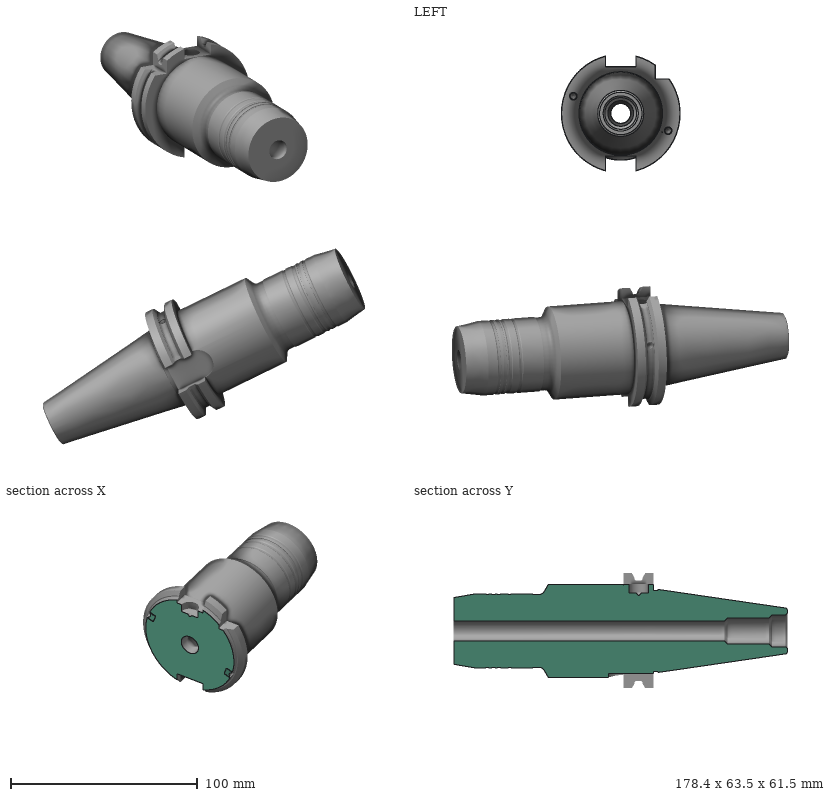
import cadquery as cq
import math


taper_length = 68.4
taper_rate = 7 / 24
gauge_radius = 44.45 / 2
taper_overrun = 1.0
neck_radius = 21.9
end_chamfer_length = 0.5
end_chamfer_height = 0.9

flange_start = 3.2
flange_end = 19.1
flange_radius = 63.55 / 2
groove_center = (flange_start + flange_end) / 2
groove_floor_radius = 56.25 / 2
groove_half_width = 2.1
groove_shoulder_radius = 29.3
groove_wall_angle = 30
groove_corner = 0.6

slot_width = 16.1
top_slot_floor = 25.0
bottom_slot_floor = -22.8
notch_side = -18.5
notch_floor = 18.5

pocket_diameter = 10.0
pocket_depth = 4.6
center_mark_diameter = 2.7
center_mark_depth = 1.35

nose_end = 110.0
body_radius = 25.0
body_foot_chamfer = 0.5
body_end = 59.6
shoulder_angle = 60
shoulder_fillet = 3.2
relief_radius = 19.6
nose_start = 67.9
nose_radius = 20.0
tip_taper_start = 98.3
tip_radius = 18.0

ring_depth = 0.35
ring_flank = 0.5
square_flank = 0.0
rings = [
    (79.2, 81.2, ring_flank, ring_flank),
    (84.8, 87.1, ring_flank, ring_flank),
    (88.0, 89.7, square_flank, square_flank),
    (91.3, 93.1, square_flank, ring_flank),
]

mouth_radius = 9.4
counterbore_radius = 8.5
counterbore_depth = 8.2
thread_radius = 6.9
thread_depth = 32.0
through_radius = 5.3

plug_diameter = 4.0
plug_length = 3.5
plug_recess = 0.5
dimple_diameter = 3.4
dimple_depth = 1.0
coolant_circle_radius = 27.0
coolant_angles = [20, 200]


def turned(points):
    """Solid of revolution about X from a closed (x, radius) outline."""
    outline = cq.Workplane("XZ").polyline(points).close()
    return outline.revolve(360, (0, 0, 0), (1, 0, 0))


def outer_blank():
    small_end = -taper_length
    chamfer_end = small_end + end_chamfer_length
    small_radius = gauge_radius - taper_length * taper_rate / 2
    chamfer_radius = gauge_radius + chamfer_end * taper_rate / 2
    overrun_radius = gauge_radius + taper_overrun * taper_rate / 2
    shoulder_slope = math.radians(shoulder_angle)
    shoulder_foot = body_end + (body_radius - relief_radius) / math.tan(shoulder_slope)
    tangent_length = shoulder_fillet * math.tan(shoulder_slope / 2)
    fillet_start = (
        shoulder_foot - tangent_length * math.cos(shoulder_slope),
        relief_radius + tangent_length * math.sin(shoulder_slope),
    )
    outline = (
        cq.Workplane("XZ")
        .moveTo(small_end, 0)
        .lineTo(small_end, small_radius - end_chamfer_height)
        .lineTo(chamfer_end, chamfer_radius)
        .lineTo(taper_overrun, overrun_radius)
        .lineTo(taper_overrun, neck_radius)
        .lineTo(flange_start, neck_radius)
        .lineTo(flange_start, flange_radius)
        .lineTo(flange_end, flange_radius)
        .lineTo(flange_end, body_radius - body_foot_chamfer)
        .lineTo(flange_end + body_foot_chamfer, body_radius)
        .lineTo(body_end, body_radius)
        .lineTo(*fillet_start)
        .tangentArcPoint((shoulder_foot + tangent_length, relief_radius), relative=False)
        .lineTo(nose_start, relief_radius)
        .lineTo(nose_start, nose_radius)
        .lineTo(tip_taper_start, nose_radius)
        .lineTo(nose_end, tip_radius)
        .lineTo(nose_end, 0)
        .close()
    )
    return outline.revolve(360, (0, 0, 0), (1, 0, 0))


def gripper_groove():
    rise = flange_radius - groove_shoulder_radius
    top_half_width = groove_half_width + rise * math.tan(math.radians(groove_wall_angle))
    floor_half_width = groove_half_width - groove_corner
    half_outline = [
        (top_half_width, flange_radius),
        (groove_half_width, groove_shoulder_radius),
        (groove_half_width, groove_floor_radius + groove_corner),
        (floor_half_width, groove_floor_radius),
    ]
    right = [(groove_center + offset, radius) for offset, radius in half_outline]
    left = [(groove_center - offset, radius) for offset, radius in reversed(half_outline)]
    return turned(right + left)


def ring_groove(start, end, start_flank, end_flank):
    floor = nose_radius - ring_depth
    return turned([
        (start, nose_radius),
        (start + start_flank, floor),
        (end - end_flank, floor),
        (end, nose_radius),
    ])


def stepped_bore():
    mouth = -taper_length
    counterbore_end = mouth + counterbore_depth
    thread_end = mouth + thread_depth
    mouth_chamfer = mouth_radius - counterbore_radius
    step_cone = counterbore_radius - thread_radius
    thread_cone = thread_radius - through_radius
    return turned([
        (mouth, 0),
        (mouth, mouth_radius),
        (mouth + mouth_chamfer, counterbore_radius),
        (counterbore_end, counterbore_radius),
        (counterbore_end + step_cone, thread_radius),
        (thread_end, thread_radius),
        (thread_end + thread_cone, through_radius),
        (nose_end, through_radius),
        (nose_end, 0),
    ])


def flange_box(y_min, y_max, z_min, z_max):
    """Cutter spanning the full width of the flange."""
    size = (flange_end - flange_start, y_max - y_min, z_max - z_min)
    return cq.Workplane("XY").box(*size, centered=False).translate((flange_start, y_min, z_min))


def top_slot():
    return flange_box(-slot_width / 2, slot_width / 2, top_slot_floor, flange_radius)


def bottom_slot():
    """Slot through the flange whose round end runs out into the body."""
    slot = flange_box(-slot_width / 2, slot_width / 2, -flange_radius, bottom_slot_floor)
    round_end = (
        cq.Workplane("XY", origin=(flange_end, 0, -flange_radius))
        .circle(slot_width / 2)
        .extrude(flange_radius + bottom_slot_floor)
    )
    return slot.union(round_end)


def corner_notch():
    return flange_box(-flange_radius, notch_side, notch_floor, flange_radius)


def chip_pocket():
    pocket_floor = top_slot_floor - pocket_depth
    plane = cq.Workplane("XY", origin=(groove_center, 0, pocket_floor))
    pocket = plane.circle(pocket_diameter / 2).extrude(pocket_depth)
    center_mark = cq.Solid.makeCone(
        center_mark_diameter / 2, 0, center_mark_depth, plane.plane.origin, cq.Vector(0, 0, -1)
    )
    return pocket.union(cq.Workplane(center_mark))


def hole_frame(mouth, inward):
    """Workplane at a hole mouth whose normal points into the metal."""
    return cq.Workplane(cq.Plane(origin=mouth, xDir=(0, 0, 1), normal=inward))


def face_hole_frames():
    """Mouths of the coolant holes in the flange face beside the taper."""
    frames = []
    for angle in coolant_angles:
        y = coolant_circle_radius * math.cos(math.radians(angle))
        z = coolant_circle_radius * math.sin(math.radians(angle))
        frames.append(hole_frame((flange_start, y, z), (1, 0, 0)))
    return frames


def groove_hole_frames():
    """Mouths of the radial coolant holes in the floor of the gripper groove."""
    frames = []
    for angle in coolant_angles:
        across = math.cos(math.radians(angle))
        up = math.sin(math.radians(angle))
        mouth = (groove_center, groove_floor_radius * across, groove_floor_radius * up)
        frames.append(hole_frame(mouth, (0, -across, -up)))
    return frames


def plug_hole(frame):
    hole_length = plug_recess + plug_length
    inner = frame.circle(plug_diameter / 2).extrude(hole_length)
    outer = frame.circle(plug_diameter / 2).extrude(-plug_recess)
    return inner.union(outer)


def plug(frame):
    """Cylindrical plug, sunk below the hole mouth, with a conical dimple in its outer end."""
    outer_end = frame.workplane(offset=plug_recess)
    cylinder = outer_end.circle(plug_diameter / 2).extrude(plug_length)
    dimple = cq.Solid.makeCone(
        dimple_diameter / 2, 0, dimple_depth, outer_end.plane.origin, outer_end.plane.zDir
    )
    return cylinder.cut(cq.Workplane(dimple))


def holder():
    body = outer_blank().cut(gripper_groove()).cut(stepped_bore())
    for ring in rings:
        body = body.cut(ring_groove(*ring))
    for cutter in (top_slot(), bottom_slot(), corner_notch(), chip_pocket()):
        body = body.cut(cutter)
    for frame in face_hole_frames() + groove_hole_frames():
        body = body.cut(plug_hole(frame))
    return body


holder_body = holder()
face_plugs = [plug(frame).val() for frame in face_hole_frames()]
groove_plugs = [plug(frame).val() for frame in groove_hole_frames()]

result = cq.Compound.makeCompound([holder_body.val(), *face_plugs, *groove_plugs])